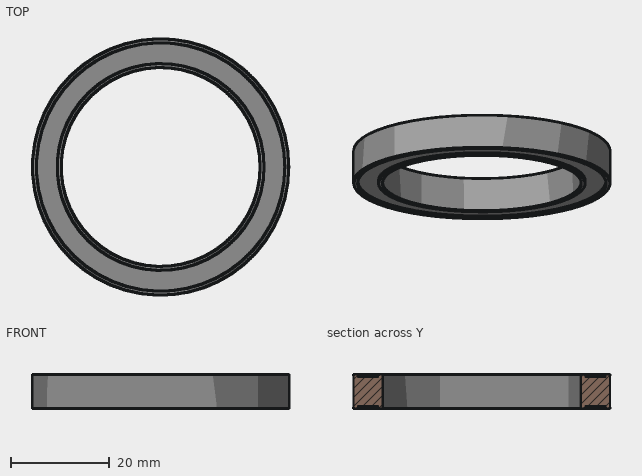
import cadquery as cq

outer_diameter = 52.0
bore_diameter = 40.0
width = 7.0
race_rim = 1.0
edge_chamfer = 0.2
seal_recess = 0.5

outer_radius = outer_diameter / 2
bore_radius = bore_diameter / 2


def flat_ring(inner_radius, rim_radius, height):
    """Plain ring around Z, centred on the origin."""
    base = cq.Workplane("XY").workplane(offset=-height / 2)
    return base.circle(rim_radius).circle(inner_radius).extrude(height)


def race(inner_radius):
    """Full-width race with all four circular edges chamfered."""
    ring = flat_ring(inner_radius, inner_radius + race_rim, width)
    return ring.faces("|Z").edges().chamfer(edge_chamfer)


def seal_body():
    """Ring between the races, set back from both race faces.

    It reaches to the middle of each race rim so that all three rings fuse into one solid.
    """
    overlap = race_rim / 2
    return flat_ring(bore_radius + overlap, outer_radius - overlap, width - 2 * seal_recess)


inner_race = race(bore_radius)
outer_race = race(outer_radius - race_rim)

result = inner_race.union(seal_body()).union(outer_race)